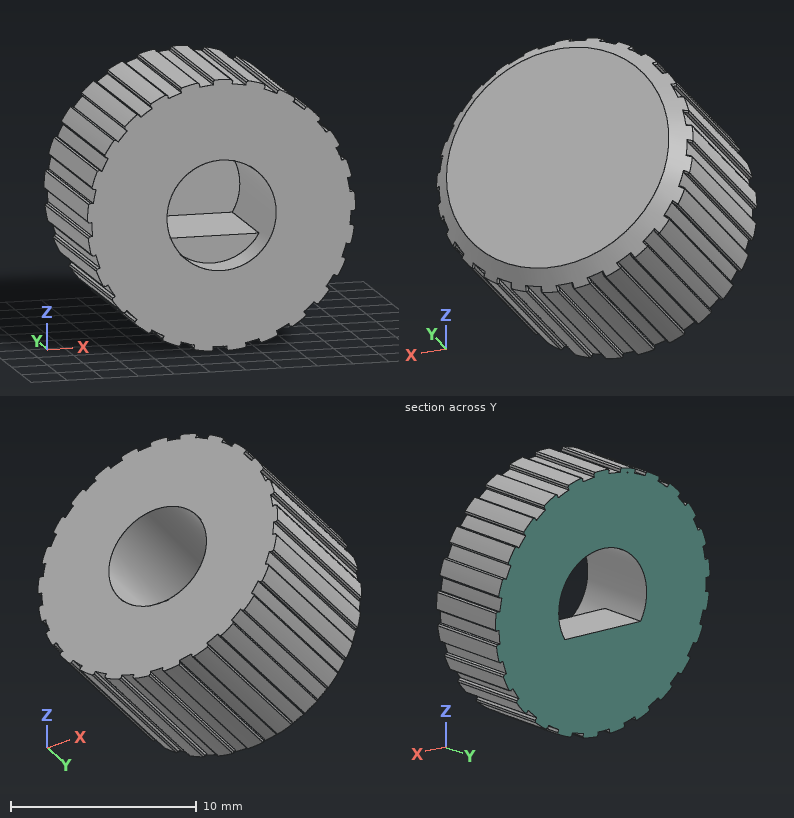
import cadquery as cq
import math

outer_diameter = 15.0
outer_radius = outer_diameter / 2
knob_length = 10.0
bevel = 1.0

groove_count = 25
groove_depth = 0.25
groove_width = 0.76
groove_chamfer = 0.1
groove_pitch = 360 / groove_count
rib_turn = 0.6
groove_floor_radius = outer_radius - groove_depth

hole_diameter = 6.1
hole_radius = hole_diameter / 2
hole_depth = 7.5
round_entry_depth = 2.0
flat_distance = 1.55

clearance = 0.3


def cylinder_along_y(radius, length):
    """Cylinder on the Y axis, from Y = 0 toward +Y."""
    return cq.Workplane("XZ").circle(radius).extrude(-length)


def make_groove_bar(length):
    """Bar along Y with the groove section, its surface line at Z = 0 and widening above it."""
    half_width = groove_width / 2
    half_mouth = half_width + groove_chamfer + clearance
    bottom = -(groove_depth + clearance)
    section = [
        (-half_width, bottom),
        (half_width, bottom),
        (half_width, -groove_chamfer),
        (half_mouth, clearance),
        (-half_mouth, clearance),
        (-half_width, -groove_chamfer),
    ]
    return cq.Workplane("XZ").polyline(section).close().extrude(-length)


def make_groove_cutter():
    """One groove at +Z: a run along the rim and a run down the bevel, above the round floor."""
    bevel_start = knob_length - bevel
    rim_run = make_groove_bar(knob_length + clearance).translate((0, -clearance, outer_radius))
    bevel_run = (
        make_groove_bar(bevel * math.sqrt(2))
        .rotate((0, 0, 0), (1, 0, 0), -45)
        .translate((0, bevel_start, outer_radius))
    )
    core = cylinder_along_y(groove_floor_radius, knob_length + 2 * clearance).translate((0, -clearance, 0))
    return rim_run.union(bevel_run).cut(core)


def make_body():
    body = cylinder_along_y(outer_radius, knob_length).faces(">Y").chamfer(bevel)
    groove = make_groove_cutter()
    for index in range(groove_count):
        turn = rib_turn + (index + 0.5) * groove_pitch
        body = body.cut(groove.rotate((0, 0, 0), (0, 1, 0), turn))
    return body


def make_shaft_hole():
    bore = cylinder_along_y(hole_radius, hole_depth)
    flat = (
        cq.Workplane("XY")
        .box(
            hole_diameter,
            hole_depth - round_entry_depth,
            hole_radius - flat_distance,
            centered=(True, False, False),
        )
        .translate((0, round_entry_depth, -hole_radius))
    )
    return bore.cut(flat)


result = make_body().cut(make_shaft_hole())